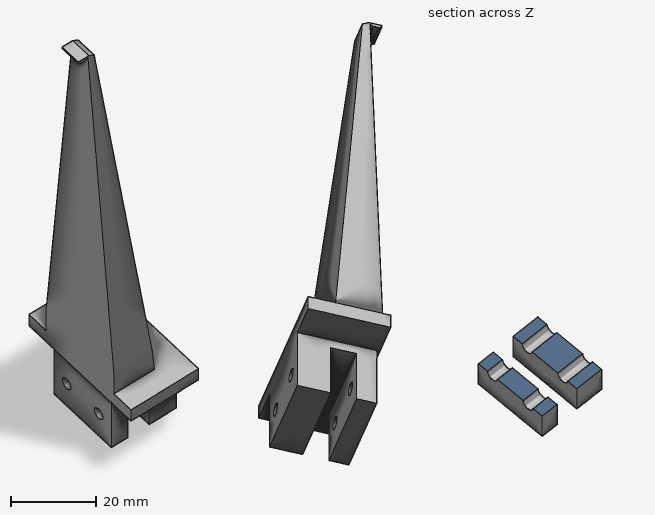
import cadquery as cq

total_height = 134.0

plate_width = 38.0
plate_depth = 20.4
plate_bottom = 17.5
plate_thickness = 4.0
plate_top = plate_bottom + plate_thickness

clip_width = 21.5
clip_front = 0.8
slot_front = 5.8
slot_back = 12.2
slot_height = 15.0
hole_diameter = 3.2
hole_spacing = 11.9
hole_height = 7.9

blade_width = 25.3
blade_depth = 12.2
taper_start = 28.8
tip_width = 6.0
tip_depth = 1.9

hook_reach = 3.0
hook_thickness = 0.5
hook_barb = 0.4
barb_back = 0.8
barb_front = 2.1
hook_bottom = total_height - hook_thickness
crown_depth = 0.3
shoulder_drop = 1.0


def box(width, front, back, bottom, top):
    """Block centred on X between the given Y and Z limits."""
    block = cq.Workplane("XY").box(width, back - front, top - bottom, centered=(True, False, False))
    return block.translate((0, front, bottom))


def side_prism(points, width):
    """Extrude a YZ outline symmetrically along X."""
    return cq.Workplane("YZ").polyline(points).close().extrude(width / 2, both=True)


def make_clip():
    clip = box(clip_width, clip_front, plate_depth, 0, plate_bottom)
    clip = clip.cut(box(clip_width, slot_front, slot_back, 0, slot_height))
    for x in (-hole_spacing / 2, hole_spacing / 2):
        hole = cq.Workplane("XZ").center(x, hole_height).circle(hole_diameter / 2).extrude(-plate_depth)
        clip = clip.cut(hole)
    return clip


def make_blade():
    shoulder = total_height - shoulder_drop
    front_outline = [
        (-blade_width / 2, plate_top),
        (blade_width / 2, plate_top),
        (blade_width / 2, taper_start),
        (tip_width / 2, shoulder),
        (tip_width / 2, total_height),
        (-tip_width / 2, total_height),
        (-tip_width / 2, shoulder),
        (-blade_width / 2, taper_start),
    ]
    side_outline = [
        (0, plate_top),
        (blade_depth, plate_top),
        (tip_depth, shoulder),
        (crown_depth, total_height),
        (0, total_height),
    ]
    blade = cq.Workplane("XZ").polyline(front_outline).close().extrude(-blade_depth)
    return blade.intersect(side_prism(side_outline, blade_width))


def make_hook():
    outline = [
        (crown_depth, total_height),
        (-hook_reach, total_height),
        (-hook_reach, hook_bottom),
        (-barb_front, hook_bottom - hook_barb),
        (-barb_back, hook_bottom - hook_barb),
        (0, hook_bottom),
        (crown_depth, hook_bottom),
    ]
    return side_prism(outline, tip_width)


plate = box(plate_width, 0, plate_depth, plate_bottom, plate_top)
result = plate.union(make_clip()).union(make_blade()).union(make_hook())